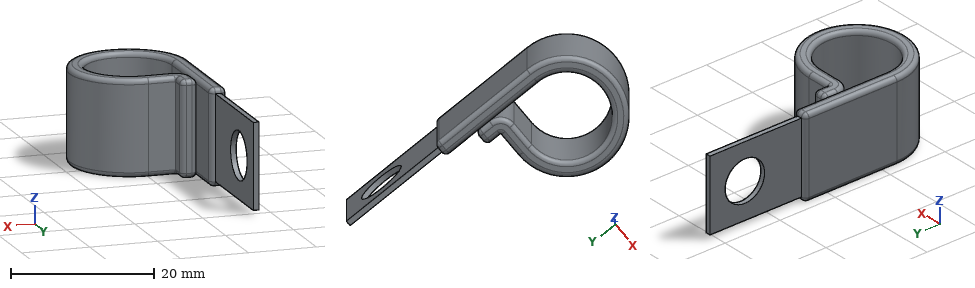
import cadquery as cq

total_length = 42.05
outer_radius = 8.7
width = 14.2
strap_thickness = 0.85
cushion = 0.75
arm_end_y = 16.75
foot_start_x = -3.9
foot_bend_radius = 0.05
foot_length = 2.5
hole_diameter = 7.15

thickness = strap_thickness + 2 * cushion
middle_radius = outer_radius - thickness / 2
strap_width = width - 2 * cushion
strap_end_y = total_length - outer_radius
hole_y = strap_end_y - strap_width / 2


def band_section(center_x):
    """Rounded band cross-section in the XZ plane."""
    outline = cq.Sketch().push([(center_x, 0)]).rect(thickness, width).reset()
    return outline.vertices().fillet(cushion)


def bend(section_x, angle, axis_x, axis_y):
    """Band section revolved counterclockwise about a vertical axis."""
    plane = cq.Plane(origin=(axis_x, axis_y, 0), xDir=(1, 0, 0), normal=(0, -1, 0))
    return cq.Workplane(plane).placeSketch(band_section(section_x)).revolve(angle, (0, 0), (0, 1))


def rounded_arm(center_x, start_y, length):
    """Straight band along +Y with a rounded free end."""
    return (
        cq.Workplane("XY")
        .box(thickness, length, width)
        .edges("|Y or >Y")
        .fillet(cushion)
        .translate((center_x, start_y + length / 2, 0))
    )


def short_leg():
    """Straight band joining the loop top to the foot bend."""
    plane = cq.Plane(origin=(foot_start_x, middle_radius, 0), xDir=(0, 1, 0), normal=(1, 0, 0))
    return cq.Workplane(plane).placeSketch(band_section(0)).extrude(-foot_start_x)


def bare_strap():
    """Mounting tab with its screw hole."""
    length = strap_end_y - arm_end_y
    tab = cq.Workplane("XY").box(strap_thickness, length, strap_width)
    tab = tab.translate((-middle_radius, arm_end_y + length / 2, 0))
    drill = (
        cq.Workplane("YZ")
        .center(hole_y, 0)
        .circle(hole_diameter / 2)
        .extrude(outer_radius, both=True)
    )
    return tab.cut(drill)


loop = bend(-middle_radius, 270, 0, 0)

foot_axis_y = outer_radius + foot_bend_radius
foot_offset = foot_bend_radius + thickness / 2
foot_bend = bend(-foot_offset, 90, foot_start_x, foot_axis_y)
foot_lip = rounded_arm(foot_start_x - foot_offset, foot_axis_y, foot_length)

result = (
    loop.union(rounded_arm(-middle_radius, 0, arm_end_y))
    .union(short_leg())
    .union(foot_bend)
    .union(foot_lip)
    .union(bare_strap())
)